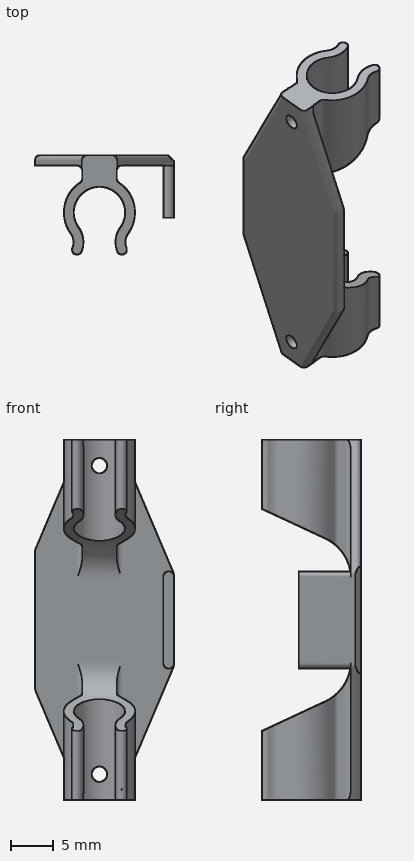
import cadquery as cq
import math


LENGTH = 42.0
HALF_LENGTH = LENGTH / 2
WIDTH = 16.2
RIGHT_X = 8.7
LEFT_X = RIGHT_X - WIDTH
PLATE_THICKNESS = 1.2
END_HALF_WIDTH = 2.05
SIDE_ANGLE = math.radians(67)
CORNER_RADIUS = 1.0
ROUND_RADIUS = 0.6
RIGHT_CHAMFER = 0.7

TAB_THICKNESS = 1.25
TAB_LENGTH = 11.35
TAB_DEPTH = 7.3

TOTAL_DEPTH = 11.6
NECK_HALF_WIDTH = 2.0
BORE_RADIUS = 3.0
CLIP_WALL = 1.18
OUTER_RADIUS = BORE_RADIUS + CLIP_WALL
CLIP_DEPTH = 6.68
LIP_ANGLE = math.radians(36.2)
LIP_RADIUS = 1.7

LIP_END_Z = 12.95
END_SLOPE = math.radians(25)
END_ARC_RADIUS = 5.12

HOLE_DIAMETER = 1.75
HOLE_Z = 17.98


def polar(center, radius, angle):
    """Point at a radius and angle from a center."""
    return (center[0] + radius * math.cos(angle), center[1] + radius * math.sin(angle))


def plate_prism(depth):
    """Tapered plate outline, extruded forwards from the back face."""
    def corner_z(x):
        return HALF_LENGTH - (abs(x) - END_HALF_WIDTH) * math.tan(SIDE_ANGLE)

    outline = [
        (END_HALF_WIDTH, HALF_LENGTH),
        (RIGHT_X, corner_z(RIGHT_X)),
        (RIGHT_X, -corner_z(RIGHT_X)),
        (END_HALF_WIDTH, -HALF_LENGTH),
        (-END_HALF_WIDTH, -HALF_LENGTH),
        (LEFT_X, -corner_z(LEFT_X)),
        (LEFT_X, corner_z(LEFT_X)),
        (-END_HALF_WIDTH, HALF_LENGTH),
    ]
    prism = cq.Workplane("XZ").polyline(outline).close().extrude(depth)
    side_corners = prism.edges("|Y").filter(lambda e: abs(e.Center().z) < HALF_LENGTH - 0.4)
    return prism.newObject(side_corners.vals()).fillet(CORNER_RADIUS)


def back_plate():
    """Plate with its back edge rounded everywhere except at the two flat ends."""
    plate = plate_prism(PLATE_THICKNESS)
    rim = plate.faces(">Y").edges().filter(lambda e: abs(e.Center().z) < HALF_LENGTH - 0.4)
    return plate.newObject(rim.vals()).fillet(ROUND_RADIUS)


def side_tab():
    """Round-ended tab standing forwards along the right side of the plate."""
    root_depth = PLATE_THICKNESS / 2
    return (
        cq.Workplane("XZ", origin=(RIGHT_X - TAB_THICKNESS / 2, -root_depth, 0))
        .slot2D(TAB_LENGTH, TAB_THICKNESS, 90)
        .extrude(TAB_DEPTH - root_depth)
    )


def along_length(sketch):
    """Extrude a closed XY profile over the whole length, centered on Z = 0."""
    return sketch.close().extrude(HALF_LENGTH, both=True)


def clip_neck():
    """Neck between plate and ring, with fillets where it meets the ring."""
    fillet_x = NECK_HALF_WIDTH + ROUND_RADIUS
    reach = OUTER_RADIUS + ROUND_RADIUS
    fillet_angle = math.acos(fillet_x / reach)
    axis = (0, -CLIP_DEPTH)
    fillet_center = polar(axis, reach, fillet_angle)
    ring_x, ring_y = polar(axis, OUTER_RADIUS, fillet_angle)
    mid_x, mid_y = polar(fillet_center, ROUND_RADIUS, (math.pi + math.pi + fillet_angle) / 2)
    back_y = -ROUND_RADIUS
    return along_length(
        cq.Workplane("XY")
        .moveTo(NECK_HALF_WIDTH, back_y)
        .lineTo(NECK_HALF_WIDTH, fillet_center[1])
        .threePointArc((mid_x, mid_y), (ring_x, ring_y))
        .lineTo(0, -CLIP_DEPTH)
        .lineTo(-ring_x, ring_y)
        .threePointArc((-mid_x, mid_y), (-NECK_HALF_WIDTH, fillet_center[1]))
        .lineTo(-NECK_HALF_WIDTH, back_y)
    )


def clip_ring():
    """Open ring whose ends curl outwards into round-tipped lips."""
    axis = (0, -CLIP_DEPTH)
    lip_center = polar(axis, OUTER_RADIUS + LIP_RADIUS, -LIP_ANGLE)
    lip_inner_radius = LIP_RADIUS + CLIP_WALL
    tip_radius = CLIP_WALL / 2
    middle_radius = LIP_RADIUS + tip_radius
    tip_drop = TOTAL_DEPTH - tip_radius + lip_center[1]
    start_angle = math.pi - LIP_ANGLE
    tip_angle = math.pi + math.asin(tip_drop / middle_radius)
    mid_angle = (start_angle + tip_angle) / 2

    outer_start = polar(axis, OUTER_RADIUS, -LIP_ANGLE)
    outer_mid = polar(lip_center, LIP_RADIUS, mid_angle)
    outer_tip = polar(lip_center, LIP_RADIUS, tip_angle)
    tip_center = polar(lip_center, middle_radius, tip_angle)
    tip_end = polar(tip_center, tip_radius, tip_angle + math.pi / 2)
    inner_tip = polar(lip_center, lip_inner_radius, tip_angle)
    inner_mid = polar(lip_center, lip_inner_radius, mid_angle)
    inner_start = polar(axis, BORE_RADIUS, -LIP_ANGLE)

    def mirrored(point):
        return (-point[0], point[1])

    return along_length(
        cq.Workplane("XY")
        .moveTo(*outer_start)
        .threePointArc(outer_mid, outer_tip)
        .threePointArc(tip_end, inner_tip)
        .threePointArc(inner_mid, inner_start)
        .threePointArc((0, BORE_RADIUS - CLIP_DEPTH), mirrored(inner_start))
        .threePointArc(mirrored(inner_mid), mirrored(inner_tip))
        .threePointArc(mirrored(tip_end), mirrored(outer_tip))
        .threePointArc(mirrored(outer_mid), mirrored(outer_start))
        .threePointArc((0, OUTER_RADIUS - CLIP_DEPTH), outer_start)
    )


def neck_root_fillets():
    """Fillets between neck and plate, trimmed by the tapered plate sides."""
    front_y = -PLATE_THICKNESS
    root_y = front_y - ROUND_RADIUS
    foot_x = NECK_HALF_WIDTH + ROUND_RADIUS
    back_y = front_y / 2

    mid_x, mid_y = polar((foot_x, root_y), ROUND_RADIUS, math.radians(135))
    flare = along_length(
        cq.Workplane("XY")
        .moveTo(foot_x, back_y)
        .lineTo(foot_x, front_y)
        .threePointArc((mid_x, mid_y), (NECK_HALF_WIDTH, root_y))
        .lineTo(-NECK_HALF_WIDTH, root_y)
        .threePointArc((-mid_x, mid_y), (-foot_x, front_y))
        .lineTo(-foot_x, back_y)
    )
    return flare.intersect(plate_prism(TOTAL_DEPTH))


def clip_gap():
    """Space between the two clips: sloped ends blending into the plate face."""
    front_y = -PLATE_THICKNESS
    arc_y = front_y - END_ARC_RADIUS
    slope_y = arc_y + END_ARC_RADIUS * math.sin(END_SLOPE)
    slope_z = LIP_END_Z - (TOTAL_DEPTH + slope_y) * math.tan(END_SLOPE)
    arc_z = slope_z - END_ARC_RADIUS * math.cos(END_SLOPE)
    mid_y, mid_z = polar((arc_y, arc_z), END_ARC_RADIUS, (math.pi / 2 - END_SLOPE) / 2)
    return (
        cq.Workplane("YZ")
        .moveTo(front_y, -arc_z)
        .lineTo(front_y, arc_z)
        .threePointArc((mid_y, mid_z), (slope_y, slope_z))
        .lineTo(-TOTAL_DEPTH, LIP_END_Z)
        .lineTo(-TOTAL_DEPTH, -LIP_END_Z)
        .lineTo(slope_y, -slope_z)
        .threePointArc((mid_y, -mid_z), (front_y, -arc_z))
        .close()
        .extrude(WIDTH, both=True)
    )


def right_edge_chamfer():
    """Wedge removed along the right back edge, behind the tab."""
    return along_length(
        cq.Workplane("XY")
        .moveTo(RIGHT_X, 0)
        .lineTo(RIGHT_X - RIGHT_CHAMFER, 0)
        .lineTo(RIGHT_X, -RIGHT_CHAMFER)
    )


def screw_holes():
    """One hole through plate and neck behind each clip."""
    return (
        cq.Workplane("XZ")
        .pushPoints([(0, HOLE_Z), (0, -HOLE_Z)])
        .circle(HOLE_DIAMETER / 2)
        .extrude(TOTAL_DEPTH)
    )


bore = cq.Workplane("XY", origin=(0, -CLIP_DEPTH, 0)).circle(BORE_RADIUS).extrude(HALF_LENGTH, both=True)
clips = clip_neck().cut(bore).union(clip_ring()).union(neck_root_fillets()).cut(clip_gap())
body = back_plate().union(clips).union(side_tab())
result = body.cut(right_edge_chamfer()).cut(screw_holes())